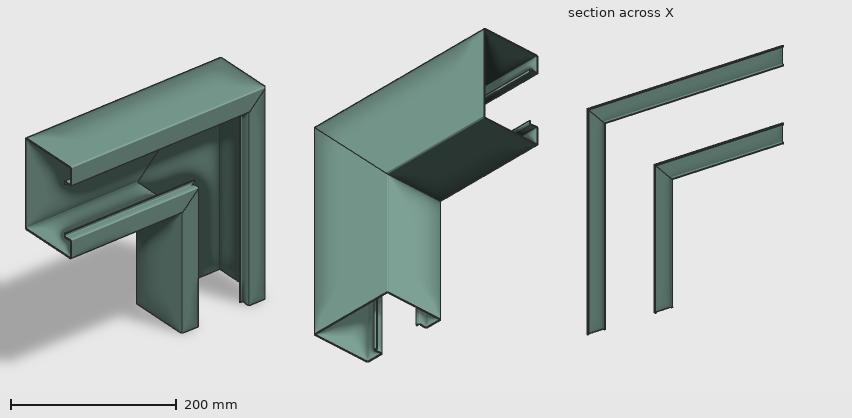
import cadquery as cq

leg_length = 300.0
section_width = 90.0
section_depth = 130.2

sheet = 1.8
bend_radius = 3.0
strip_bend_radius = 2.5
inner_radius = 1.0

front_depth = 27.0
lip_reach = 14.0
flat_reach = 5.0
flange_rise = 1.0
lip_tip = 30.3

front_x = section_width / 2
back_x = -section_width / 2
low_y = -leg_length / 2
high_y = leg_length / 2
low_z = -leg_length / 2
high_z = leg_length / 2


def half_outline():
    """Corners of one half of the folded section as (x, distance from outer side, bend radius).

    A radius of zero marks a sharp corner. The points run along the outside of the sheet
    from the mid-plane to the lip's free edge, then back along the inside.
    """
    middle = section_depth / 2
    lip_x = front_x - lip_reach
    kink_x = front_x - flat_reach
    flange_open = front_depth
    flange_inside = front_depth - sheet
    return [
        (back_x, middle, 0),
        (back_x, 0, bend_radius),
        (front_x, 0, bend_radius),
        (front_x, flange_open, strip_bend_radius),
        (kink_x, flange_open, 0),
        (lip_x + sheet, flange_open - flange_rise, inner_radius),
        (lip_x + sheet, lip_tip, 0),
        (lip_x, lip_tip, 0),
        (lip_x, flange_inside - flange_rise, bend_radius),
        (kink_x, flange_inside, 0),
        (front_x - sheet, flange_inside, inner_radius),
        (front_x - sheet, sheet, inner_radius),
        (back_x + sheet, sheet, inner_radius),
        (back_x + sheet, middle, 0),
    ]


def half_channel():
    """Half of the upper arm, with its outer side on top and its bends rounded."""
    corners = half_outline()
    channel = (
        cq.Workplane("XZ", origin=(0, high_y, high_z))
        .polyline([(x, -distance) for x, distance, _ in corners])
        .close()
        .extrude(leg_length)
    )
    for x, distance, radius in corners:
        if radius:
            at_corner = cq.selectors.NearestToPointSelector((x, 0, high_z - distance))
            channel = channel.edges("|Y").edges(at_corner).fillet(radius)
    return channel


def miter_block():
    """Everything above the 45 degree plane through the outer corner of the L."""
    return (
        cq.Workplane("YZ", origin=(back_x, 0, 0))
        .polyline([(high_y, high_z), (low_y, high_z), (low_y, low_z)])
        .close()
        .extrude(section_width)
    )


def upper_arm():
    """Arm that runs along Y, mitered at its +Y end."""
    half = half_channel()
    middle_z = high_z - section_depth / 2
    other_half = half.mirror("XY", (0, 0, middle_z))
    channel = half.union(other_half)
    return channel.intersect(miter_block())


def lower_arm(upper):
    """Arm that runs along Z: the upper arm reflected in the miter plane."""
    miter_normal = cq.Vector(0, 1, -1)
    return upper.mirror(miter_normal)


arm_along_y = upper_arm()
arm_along_z = lower_arm(arm_along_y)

result = cq.Compound.makeCompound([arm_along_y.val(), arm_along_z.val()])